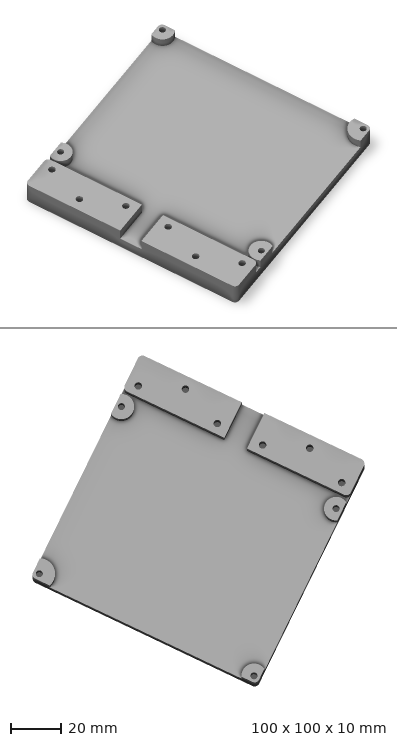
import cadquery as cq

side = 100.0
plate_thickness = 5.0
total_height = 10.0
corner_radius = 2.0

block_length = 45.0
block_depth = 16.0
block_hole_diameter = 3.0
block_hole_inset = 5.0
block_rear_hole_y = 12.0
block_front_hole_y = 5.0

post_height = 4.0
post_hole_diameter = 2.8
post_inset = 2.5
front_post_y = 22.3
left_x = post_inset
right_x = side - post_inset
rear_post_y = side - post_inset
posts = [
    (left_x, front_post_y, 4.8),
    (right_x, front_post_y, 5.1),
    (left_x, rear_post_y, 5.0),
    (right_x, rear_post_y, 6.3),
]


def rounded_slab(thickness):
    """Square slab with rounded vertical edges and its front-left corner at the origin."""
    slab = cq.Workplane("XY").box(side, side, thickness, centered=False)
    return slab.edges("|Z").fillet(corner_radius)


def make_block(start_x, outer_face):
    """Block on the plate, rounded at its outer end, with three blind holes."""
    height = total_height - plate_thickness
    block = (
        cq.Workplane("XY", origin=(start_x, 0, plate_thickness))
        .box(block_length, block_depth, height, centered=False)
        .faces(outer_face)
        .edges("|Z")
        .fillet(corner_radius)
    )
    hole_points = [
        (start_x + block_hole_inset, block_rear_hole_y),
        (start_x + block_length - block_hole_inset, block_rear_hole_y),
        (start_x + block_length / 2, block_front_hole_y),
    ]
    holes = (
        cq.Workplane("XY", origin=(0, 0, plate_thickness))
        .pushPoints(hole_points)
        .circle(block_hole_diameter / 2)
        .extrude(height)
    )
    return block.cut(holes)


def make_post(x, y, radius):
    """Round post on the plate with a hole down to the plate surface."""
    post = (
        cq.Workplane("XY", origin=(x, y, plate_thickness))
        .circle(radius)
        .circle(post_hole_diameter / 2)
        .extrude(post_height)
    )
    return post.intersect(rounded_slab(total_height))


result = rounded_slab(plate_thickness)
result = result.union(make_block(0, "<X"))
result = result.union(make_block(side - block_length, ">X"))
for post_x, post_y, post_radius in posts:
    result = result.union(make_post(post_x, post_y, post_radius))